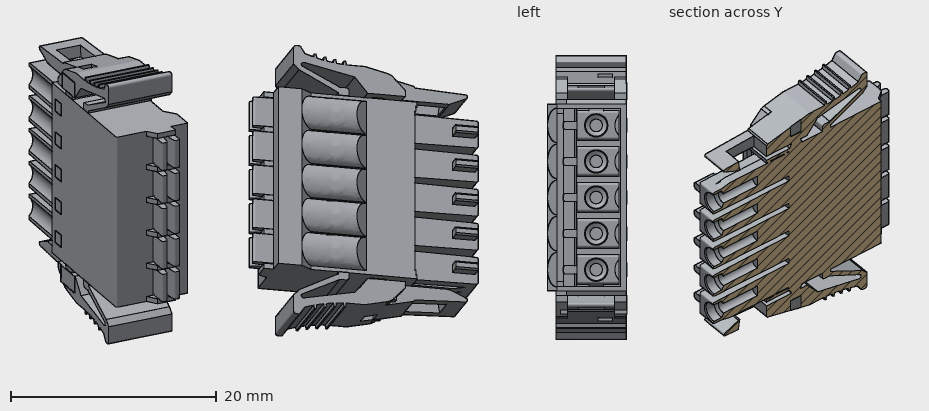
import cadquery as cq
import math


total_length = 22.9
total_depth = 7.75
total_height = 27.6

pole_count = 5
pole_pitch = 3.5
pole_heights = [(i - (pole_count - 1) / 2) * pole_pitch for i in range(pole_count)]

housing_start = 6.65
housing_end = 20.92
housing_front = 0.05
housing_back = 6.82
housing_half_height = 9.08
edge_round = 0.17
rear_round = 0.2
cavity_depth = 2.75
cavity_front = 0.63
cavity_back = 6.18
cavity_half_height = 8.67
back_wall_setback = 0.28
back_wall_half_height = 8.17
ledge_setback = 0.83
ledge_low = 4.9
ledge_high = 5.13
catch_start = 7.42
catch_size = 1.3

ramp_length = 1.2
hump_start = 11.8
hump_half_width = 1.68
back_block_start = 17.35

module_front = 0.77
module_back = 4.85
module_half_tip = 1.38
module_half_root = 1.45
module_tip_round = 0.22
groove_half_width = 1.02
groove_depth = 0.41
wire_axis = 3.0
mouth_radius = 1.13
entry_radius = 1.05
mouth_depth = 0.15
entry_depth = 1.1
funnel_depth = 1.32
wire_radius = 0.6
wire_depth = 5.52
key_start = 0.35
key_end = 2.62
key_back = 6.2
key_width = 0.8
key_bevel = 0.17
pad_start = 1.0
pad_ramp_end = 2.18
pad_front = 2.3
pad_back = 3.7
pad_height = 8.65

wall_thickness = 0.52
wall_end = 21.9
wall_front_root = 3.3
wall_front_tip = 4.03
wall_back = 5.95
prong_width = 2.93
prong_tip_round = 0.2
prong_root_width = 0.72
prong_tip_width = 0.58
prong_taper_start = 22.08
front_prong = 4.03
back_prong = wall_back

latch_front = 0.08
latch_back = 6.93
latch_half_height = total_height / 2
latch_underside = 9.52
nose_front = 1.25
nose_back = 5.8
nose_top = 10.75
nose_end = 9.6
shoulder_start = 7.92
shoulder_bend = 9.25
shoulder_low = 10.15
shoulder_high = 11.55
shoulder_top = 11.7
lever_start = 1.35
lever_end = 19.15
thumb_round = 0.28
window_start = 3.2
window_end = housing_start
window_bevel = 0.17
window_front = 2.2
window_back = 4.77
pocket_start = 9.65
pocket_end = 10.93
pocket_front = 1.4
pocket_back = 2.85
pocket_floor = 10.5
post_center = 10.32
post_root_half = 0.8
post_neck_half = 0.58
post_back = 5.88
grip_start = (13.77, 12.25)
grip_middle = (15.98, 12.5)
grip_end = (18.02, 13.05)
rib_count = 4
rib_first = 14.0
rib_pitch = 1.0
rib_base = 0.4
rib_crest = 0.17
rib_height = 0.35
rib_root_depth = 0.15
insert_end = 11.7
top_insert_start = 8.95
top_insert_height = 11.12
bottom_insert_start = 8.67
bottom_insert_height = 11.32
insert_back = 6.49


def box(x_range, y_range, z_range):
    """Axis-aligned block between the given limits."""
    size = [end - start for start, end in (x_range, y_range, z_range)]
    corner = (x_range[0], y_range[0], z_range[0])
    return cq.Workplane("XY", origin=corner).box(*size, centered=False)


def plan_prism(points, z_low, z_high):
    """Prism with an XY outline."""
    outline = cq.Workplane("XY", origin=(0, 0, z_low)).polyline(points).close()
    return outline.extrude(z_high - z_low)


def side_prism(points, y_front, y_back):
    """Prism with an XZ outline."""
    outline = cq.Workplane("XZ", origin=(0, y_front, 0)).polyline(points).close()
    return outline.extrude(y_front - y_back)


def make_housing():
    """Shell open towards the wires, with a rounded rear edge and one catch face per pole."""
    height = (-housing_half_height, housing_half_height)
    shell = box((housing_start, housing_end), (housing_front, housing_back), height)
    shell = shell.edges("|Z and <X and >Y").fillet(edge_round)
    shell = shell.edges("|Z and >X and <Y").fillet(rear_round)
    cavity_height = (-cavity_half_height, cavity_half_height)
    cavity_end = housing_start + cavity_depth
    cavity = box((housing_start, cavity_end), (cavity_front, cavity_back), cavity_height)
    ledge_start = housing_start + ledge_setback
    ledge = plan_prism(
        [
            (ledge_start, ledge_high),
            (ledge_start, cavity_back),
            (cavity_end, cavity_back),
            (cavity_end, ledge_low),
            (ledge_start + ledge_high - ledge_low, ledge_low),
        ],
        *cavity_height,
    )
    corner_relief = box(
        (housing_start, housing_start + edge_round),
        (cavity_back, housing_back),
        cavity_height,
    )
    back_wall_relief = box(
        (housing_start, housing_start + back_wall_setback),
        (cavity_back, housing_back),
        (-back_wall_half_height, back_wall_half_height),
    )
    shell = shell.cut(cavity).cut(corner_relief).cut(back_wall_relief).union(ledge)
    for z in pole_heights:
        catch_height = (z - catch_size / 2, z + catch_size / 2)
        catch_length = (catch_start, catch_start + catch_size)
        shell = shell.union(box(catch_length, (0, cavity_front), catch_height))
    return shell


def ramped_block(start):
    """Full-height block on the back of the housing, with a ramp at its -X end."""
    return plan_prism(
        [
            (start, housing_back),
            (start + ramp_length, total_depth),
            (housing_end, total_depth),
            (housing_end, housing_back),
        ],
        -housing_half_height,
        housing_half_height,
    )


def make_raised_back():
    """Ramped block with one elliptical hump per pole running out of it."""
    back = ramped_block(back_block_start)
    hump_rise = total_depth - housing_back
    hump_envelope = ramped_block(hump_start)
    for z in pole_heights:
        section = cq.Workplane("YZ", origin=(hump_start, housing_back, z))
        rod = section.ellipse(hump_rise, hump_half_width).extrude(housing_end - hump_start)
        back = back.union(rod.intersect(hump_envelope))
    return back


def make_module():
    """Tapered wire entry centered on Z = 0, with a side groove and key."""
    root = housing_start + cavity_depth
    body = side_prism(
        [
            (0, -module_half_tip),
            (0, module_half_tip),
            (housing_start, module_half_root),
            (root, module_half_root),
            (root, -module_half_root),
            (housing_start, -module_half_root),
        ],
        module_front,
        module_back,
    )
    body = body.faces("<X").edges("|Y").fillet(module_tip_round)

    groove_radius = (groove_half_width**2 + groove_depth**2) / (2 * groove_depth)
    groove_axis = module_front + groove_depth - groove_radius
    groove = cq.Workplane("YZ", origin=(0, groove_axis, 0)).circle(groove_radius)
    groove = groove.extrude(housing_start)

    key = box((key_start, key_end), (module_back, key_back), (-key_width / 2, key_width / 2))
    key = key.edges("|X and >Y").chamfer(key_bevel)
    return body.cut(groove).union(key)


def make_wire_hole():
    """Chamfered entry, funnel and wire bore, centered on Z = 0."""
    profile = [
        (0, 0),
        (0, mouth_radius),
        (mouth_depth, entry_radius),
        (entry_depth, entry_radius),
        (funnel_depth, wire_radius),
        (wire_depth, wire_radius),
        (wire_depth, 0),
    ]
    hole = cq.Workplane("XY").polyline(profile).close().revolve(360, (0, 0), (1, 0))
    return hole.translate((0, wire_axis, 0))


def make_end_pad():
    """Ramped pad on the outer side of the top module."""
    seat = pole_heights[-1]
    outline = [
        (pad_start, seat),
        (pad_start, seat + module_half_tip),
        (pad_ramp_end, pad_height),
        (housing_start + cavity_depth, pad_height),
        (housing_start + cavity_depth, seat),
    ]
    return side_prism(outline, pad_front, pad_back)


def make_prong(outer_y, inward, z):
    """Contact blade straight on its outer side, tapered inward towards its rounded tip."""
    prong = plan_prism(
        [
            (housing_end, outer_y),
            (total_length, outer_y),
            (total_length, outer_y + inward * prong_tip_width),
            (prong_taper_start, outer_y + inward * prong_root_width),
            (housing_end, outer_y + inward * prong_root_width),
        ],
        z - prong_width / 2,
        z + prong_width / 2,
    )
    return prong.faces(">X").edges("|Z").fillet(prong_tip_round)


def make_contact_end():
    """Two prongs per pole, with partition walls between and outside the poles."""
    end = None
    wall_outline = [
        (housing_end, wall_front_root),
        (wall_end, wall_front_tip),
        (wall_end, wall_back),
        (housing_end, wall_back),
    ]
    wall_limit = housing_half_height - wall_thickness / 2
    for i in range(pole_count + 1):
        middle = (i - pole_count / 2) * pole_pitch
        middle = math.copysign(wall_limit, middle) if i in (0, pole_count) else middle
        wall = plan_prism(wall_outline, middle - wall_thickness / 2, middle + wall_thickness / 2)
        end = wall if end is None else end.union(wall)
    for z in pole_heights:
        end = end.union(make_prong(front_prong, 1, z))
        end = end.union(make_prong(back_prong, -1, z))
    return end


def grip_height(x):
    """Height of the curved grip at x, on the parabola through its three defining points."""
    (x1, z1), (x2, z2), (x3, z3) = grip_start, grip_middle, grip_end
    return (
        z1 * (x - x2) * (x - x3) / ((x1 - x2) * (x1 - x3))
        + z2 * (x - x1) * (x - x3) / ((x2 - x1) * (x2 - x3))
        + z3 * (x - x1) * (x - x2) / ((x3 - x1) * (x3 - x2))
    )


def make_lever():
    """Lever with its folded-back spring arm, before the nose is narrowed."""
    lever = (
        cq.Workplane("XZ", origin=(0, latch_front, 0))
        .moveTo(1.52, 10.25)
        .threePointArc((lever_start, 10.45), (1.52, 10.65))
        .lineTo(housing_start, 10.9)
        .lineTo(6.8, 11.07)
        .lineTo(11.98, 12.25)
        .lineTo(*grip_start)
        .threePointArc(grip_middle, grip_end)
        .lineTo(18.5, latch_half_height)
        .lineTo(lever_end, latch_half_height)
        .lineTo(lever_end, 11.87)
        .lineTo(18.6, 11.32)
        .lineTo(14.65, 9.33)
        .lineTo(14.6, housing_half_height)
        .lineTo(13.58, housing_half_height)
        .lineTo(13.58, 9.6)
        .threePointArc((13.65, 9.8), (13.85, 9.88))
        .lineTo(14.5, 9.88)
        .lineTo(18.25, 11.7)
        .threePointArc((18.35, 11.98), (18.1, 12.12))
        .lineTo(13.0, 11.07)
        .lineTo(insert_end, latch_underside)
        .lineTo(3.17, latch_underside)
        .close()
        .extrude(latch_front - latch_back)
    )
    return lever.faces(">Z").edges("|Y").fillet(thumb_round)


def make_latch(insert_start, insert_height):
    """Complete top latch with its pivot post, grip ribs and side insert."""
    latch = make_lever()

    beside_nose = [
        (0, 0),
        (shoulder_start, 0),
        (shoulder_start, shoulder_low),
        (shoulder_bend, shoulder_high),
        (nose_end, shoulder_top),
        (nose_end, latch_half_height),
        (0, latch_half_height),
    ]
    latch = latch.cut(side_prism(beside_nose, latch_front, nose_front))
    latch = latch.cut(side_prism(beside_nose, nose_back, latch_back))

    window = side_prism(
        [
            (window_start + window_bevel, latch_underside),
            (window_start, nose_top),
            (window_start, latch_half_height),
            (window_end, latch_half_height),
            (window_end, latch_underside),
        ],
        window_front,
        window_back,
    )
    pocket = box(
        (pocket_start, pocket_end),
        (pocket_front, pocket_back),
        (pocket_floor, latch_half_height),
    )
    latch = latch.cut(window)

    for i in range(rib_count):
        x = rib_first + i * rib_pitch
        root = grip_height(x) - rib_root_depth
        crest = grip_height(x) + rib_height
        rib = side_prism(
            [
                (x - rib_base / 2, root),
                (x - rib_crest / 2, crest),
                (x + rib_crest / 2, crest),
                (x + rib_base / 2, root),
            ],
            latch_front,
            latch_back,
        )
        latch = latch.union(rib)

    post = side_prism(
        [
            (post_center - post_root_half, housing_half_height),
            (post_center - post_neck_half, latch_underside),
            (post_center + post_neck_half, latch_underside),
            (post_center + post_root_half, housing_half_height),
        ],
        latch_front,
        post_back,
    )
    insert = box((insert_start, insert_end), (0, insert_back), (latch_underside, insert_height))
    return latch.union(post).union(insert).cut(pocket)


def with_mirror(shape):
    """The shape together with its mirror image below mid-height."""
    return shape.union(shape.mirror("XY"))


result = make_housing().union(make_raised_back())
for z in pole_heights:
    result = result.union(make_module().translate((0, 0, z)))
result = result.union(with_mirror(make_end_pad()))
for z in pole_heights:
    result = result.cut(make_wire_hole().translate((0, 0, z)))
result = result.union(make_contact_end())
result = result.union(make_latch(top_insert_start, top_insert_height))
result = result.union(make_latch(bottom_insert_start, bottom_insert_height).mirror("XY"))